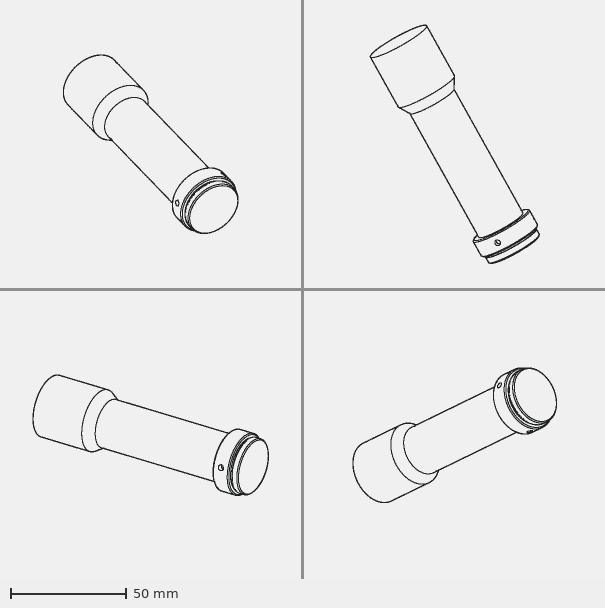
import cadquery as cq

length = 104.5

head_radius = 14.0
head_length = 25.1
shoulder_length = 5.0
tube_radius = 11.0

collar_radius = head_radius
collar_start = 92.3
collar_end = 100.4
collar_chamfer = 0.5
groove_radius = 12.1
lip_start = 101.4
lip_radius = 12.6
lip_chamfer = 0.5

hole_diameter = 2.5
hole_depth = 2.6
drill_point_length = 0.7
hole_count = 3
first_hole_angle = 46.0


def make_cylinder(start, end, radius):
    """Solid cylinder on the X axis between two positions."""
    return cq.Workplane("YZ", origin=(start, 0, 0)).circle(radius).extrude(end - start)


def make_head():
    """Large cylinder tapering to the tube diameter."""
    shoulder_end = head_length + shoulder_length
    return (
        cq.Workplane("XY")
        .moveTo(0, 0)
        .lineTo(0, head_radius)
        .lineTo(head_length, head_radius)
        .lineTo(shoulder_end, tube_radius)
        .lineTo(shoulder_end, 0)
        .close()
        .revolve(360, (0, 0, 0), (1, 0, 0))
    )


def make_collar_holes():
    """Blind radial holes with conical bottoms, equally spaced around the collar."""
    middle = (collar_start + collar_end) / 2
    floor = collar_radius - hole_depth
    drill = (
        cq.Workplane("XY", origin=(middle, 0, 0))
        .moveTo(0, collar_radius)
        .lineTo(hole_diameter / 2, collar_radius)
        .lineTo(hole_diameter / 2, floor)
        .lineTo(0, floor - drill_point_length)
        .close()
        .revolve(360, (0, 0, 0), (0, 1, 0))
    )
    holes = cq.Workplane("XY")
    for index in range(hole_count):
        angle = first_hole_angle + index * 360 / hole_count
        holes = holes.add(drill.rotate((0, 0, 0), (1, 0, 0), angle))
    return holes.combine()


tube = make_cylinder(head_length, collar_start, tube_radius)
collar = make_cylinder(collar_start, collar_end, collar_radius).edges().chamfer(collar_chamfer)
groove = make_cylinder(collar_end, lip_start, groove_radius)
lip = make_cylinder(lip_start, length, lip_radius).faces(">X").edges().chamfer(lip_chamfer)

body = make_head().union(tube).union(collar).union(groove).union(lip)
result = body.cut(make_collar_holes())